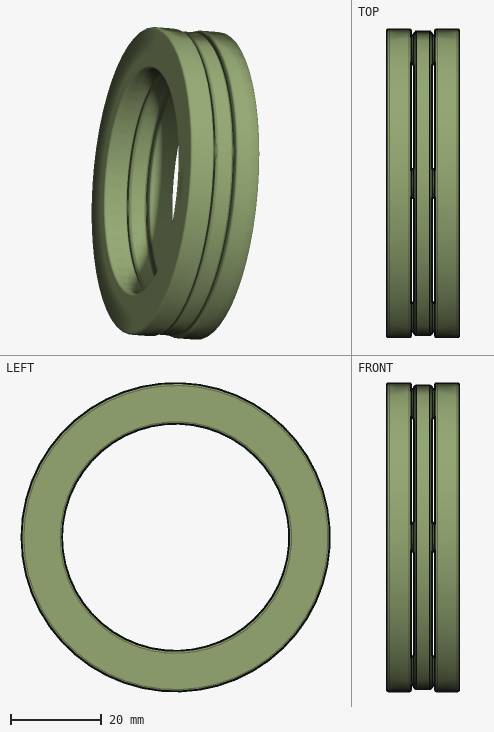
import cadquery as cq

outer_diameter = 68.0
bore_diameter = 50.0
total_width = 16.0
washer_width = 5.4
washer_edge_radius = 0.5
gap_width = total_width - 2 * washer_width

cage_width = 4.0
cage_clearance = 0.5
cage_chamfer = 0.5

ball_count = 4
ball_diameter = 7.9
pitch_radius = 29.45
ball_angles = [index * 360 / ball_count for index in range(ball_count)]

open_pocket_diameter = 8.15
open_pocket_angle = 270


def ring(outer_radius, inner_radius, width, start_x):
    """Plain ring around the X axis."""
    return (
        cq.Workplane("YZ", origin=(start_x, 0, 0))
        .circle(outer_radius)
        .circle(inner_radius)
        .extrude(width)
    )


def on_pitch_circle(body, angle):
    """Move a body from the origin to the pitch circle, at an angle about X from +Z."""
    return body.translate((0, 0, pitch_radius)).rotate((0, 0, 0), (1, 0, 0), angle)


def make_washer(start_x):
    """Washer with rounded edges and a ball groove on its inward face."""
    blank = ring(outer_diameter / 2, bore_diameter / 2, washer_width, start_x)
    ball_path = cq.Solid.makeTorus(
        pitch_radius, ball_diameter / 2, cq.Vector(0, 0, 0), cq.Vector(1, 0, 0)
    )
    return blank.edges("%CIRCLE").fillet(washer_edge_radius).cut(cq.Workplane(ball_path))


def make_ball(angle):
    """Ball on the pitch circle."""
    return on_pitch_circle(cq.Workplane("XY").sphere(ball_diameter / 2), angle)


def make_cage(balls):
    """Chamfered ring with spherical ball pockets, one of them opened by an axial hole.

    The hole is wide enough to break through the bore of the cage in a narrow slit.
    """
    cage = ring(
        outer_diameter / 2 - cage_clearance,
        bore_diameter / 2 + cage_clearance,
        cage_width,
        -cage_width / 2,
    )
    cage = cage.edges("%CIRCLE").chamfer(cage_chamfer)
    for ball in balls:
        cage = cage.cut(ball)
    open_pocket = cq.Workplane("YZ").circle(open_pocket_diameter / 2).extrude(cage_width, both=True)
    return cage.cut(on_pitch_circle(open_pocket, open_pocket_angle))


washers = [make_washer(start_x) for start_x in (-total_width / 2, gap_width / 2)]
balls = [make_ball(angle) for angle in ball_angles]
cage = make_cage(balls)

result = cq.Compound.makeCompound([body.val() for body in [*washers, cage, *balls]])